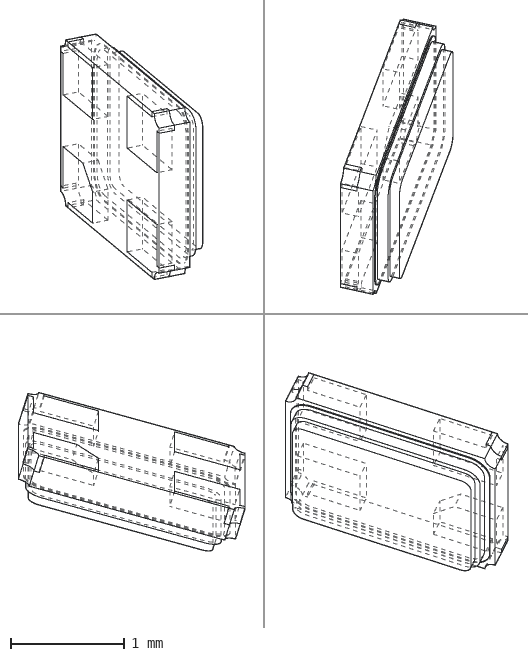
import cadquery as cq


base_length = 2.0
base_height = 1.6
base_thickness = 0.3
notch_radius = 0.1

step = 0.05

seal_thickness = 0.01

package_thickness = 0.5
crown_thickness = 0.09
crown_corner_radius = 0.1

pad_length = 0.6
pad_height = 0.5
pad_inset = 0.05
pad_depth = 0.15
pad_corner = 0.15
pad_chamfer = 0.2

seal_inset = step
flange_inset = 2 * step
crown_inset = 3 * step
lid_start = base_thickness + seal_thickness
crown_start = package_thickness - crown_thickness
flange_thickness = crown_start - lid_start
seal_corner_radius = crown_corner_radius + crown_inset - seal_inset
flange_corner_radius = crown_corner_radius + crown_inset - flange_inset
corner_signs = [(x_sign, z_sign) for x_sign in (-1, 1) for z_sign in (-1, 1)]
marked_corner = (-1, -1)


def block(length, height, thickness, x=0.0, y=0.0, z=0.0):
    """Box centred on (x, z), running from y towards +Y."""
    return cq.Workplane("XY").box(length, thickness, height, centered=(True, False, True)).translate((x, y, z))


def inset_block(inset, thickness, y):
    """Box smaller than the base outline by the inset on every side."""
    return block(base_length - 2 * inset, base_height - 2 * inset, thickness, y=y)


def corner_notches():
    """Round cutters on the four corners of the base."""
    corners = [(x_sign * base_length / 2, z_sign * base_height / 2) for x_sign, z_sign in corner_signs]
    return cq.Workplane("XZ").pushPoints(corners).circle(notch_radius).extrude(-base_thickness)


def make_pad(x_sign, z_sign):
    """Pad with a square that wraps round the notched base corner."""
    pad_x = x_sign * (base_length / 2 - pad_inset - pad_length / 2)
    pad_z = z_sign * (base_height / 2 - pad_inset - pad_height / 2)
    pad = block(pad_length, pad_height, pad_depth, x=pad_x, z=pad_z)
    if (x_sign, z_sign) == marked_corner:
        pad = pad.edges("|Y").edges(">X and >Z").chamfer(pad_chamfer)
    corner_x = x_sign * (base_length - pad_corner) / 2
    corner_z = z_sign * (base_height - pad_corner) / 2
    corner = block(pad_corner, pad_corner, pad_depth, x=corner_x, z=corner_z)
    return pad.union(corner).cut(corner_notches())


def make_base(pads):
    """Notched ceramic block with a recess for every pad."""
    base = inset_block(0, base_thickness, 0).cut(corner_notches())
    for pad in pads:
        base = base.cut(pad)
    return base


def make_seal():
    """Thin layer with corners concentric with those of the lid."""
    return inset_block(seal_inset, seal_thickness, base_thickness).edges("|Y").fillet(seal_corner_radius)


def make_lid():
    """Flange and raised top with concentric rounded corners."""
    flange = inset_block(flange_inset, flange_thickness, lid_start).edges("|Y").fillet(flange_corner_radius)
    crown = inset_block(crown_inset, crown_thickness, crown_start).edges("|Y").fillet(crown_corner_radius)
    return flange.union(crown)


pads = [make_pad(x_sign, z_sign) for x_sign, z_sign in corner_signs]
base = make_base(pads)
seal = make_seal()
lid = make_lid()

bodies = [body.solids().val() for body in (base, *pads, seal, lid)]
result = cq.Compound.makeCompound(bodies)